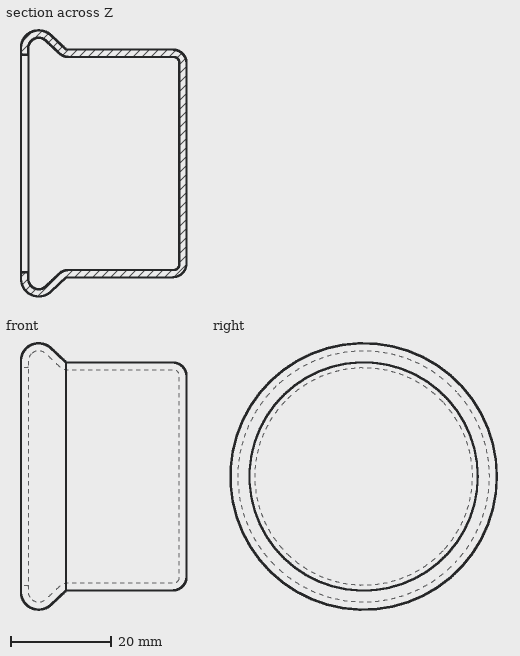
import cadquery as cq
import math

length = 33.0
rim_radius = 26.55
bead_radius = 3.55
body_radius = 45.4 / 2
bore_radius = 42.4 / 2
wall = body_radius - bore_radius
flare_end = 9.0
end_round = 2.8
floor_round = 1.05
bend_round = 2.5
mouth_radius = 43.3 / 2
lip_round = 0.3

curl_x = bead_radius
curl_radius = rim_radius - bead_radius
foot_dx = flare_end - curl_x
foot_dr = body_radius - curl_radius
tangent_angle = math.atan2(foot_dr, foot_dx) + math.acos(bead_radius / math.hypot(foot_dx, foot_dr))
flare_angle = math.pi / 2 - tangent_angle


def curl_point(section_radius):
    """Point where a curl of the given section radius runs tangentially into the flare."""
    return (
        curl_x + section_radius * math.cos(tangent_angle),
        curl_radius + section_radius * math.sin(tangent_angle),
    )


def revolve_about_x(profile):
    return profile.close().revolve(360, (0, 0, 0), (1, 0, 0))


def make_outer_body():
    """Solid envelope with rim bead, flare, body and rounded closed end."""
    profile = (
        cq.Workplane("XY")
        .lineTo(0, curl_radius)
        .threePointArc((curl_x, rim_radius), curl_point(bead_radius))
        .lineTo(flare_end, body_radius)
        .lineTo(length, body_radius)
        .lineTo(length, 0)
    )
    return revolve_about_x(profile).faces(">X").edges().fillet(end_round)


def make_cavity():
    """Inner space: rounded lip, undercut inside the curl, flare, bend and bore."""
    inner_curl = bead_radius - wall
    flare_start = curl_point(inner_curl)
    corner_x = flare_start[0] + (flare_start[1] - bore_radius) / math.tan(flare_angle)
    setback = bend_round * math.tan(flare_angle / 2)
    bend_start = (
        corner_x - setback * math.cos(flare_angle),
        bore_radius + setback * math.sin(flare_angle),
    )
    bend_end = (corner_x + setback, bore_radius)
    bend_middle = (
        bend_end[0] - bend_round * math.sin(flare_angle / 2),
        bore_radius + bend_round * (1 - math.cos(flare_angle / 2)),
    )
    lip_edge = mouth_radius + lip_round
    lip_diagonal = lip_round * (1 - math.sqrt(0.5))
    floor_x = length - wall

    profile = (
        cq.Workplane("XY")
        .lineTo(0, lip_edge)
        .threePointArc((lip_diagonal, mouth_radius + lip_diagonal), (lip_round, mouth_radius))
        .lineTo(wall - lip_round, mouth_radius)
        .threePointArc((wall - lip_diagonal, mouth_radius + lip_diagonal), (wall, lip_edge))
        .lineTo(wall, curl_radius)
        .threePointArc((curl_x, curl_radius + inner_curl), flare_start)
        .lineTo(*bend_start)
        .threePointArc(bend_middle, bend_end)
        .lineTo(floor_x, bore_radius)
        .lineTo(floor_x, 0)
    )
    return revolve_about_x(profile).faces(">X").edges().fillet(floor_round)


result = make_outer_body().cut(make_cavity())